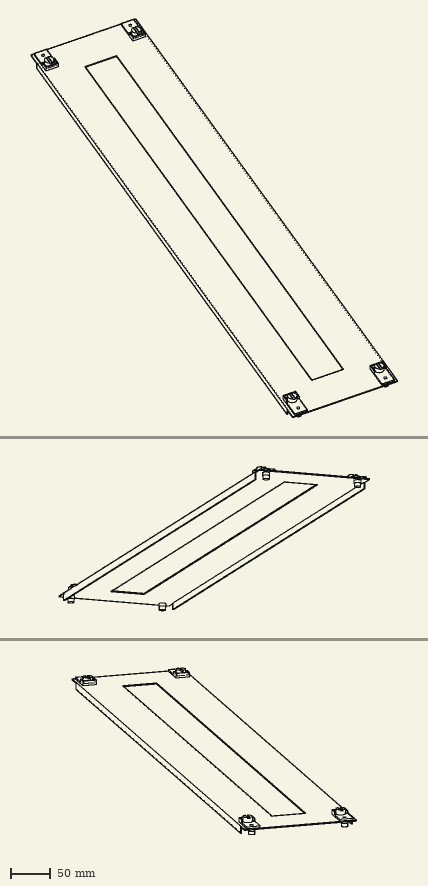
import cadquery as cq

LENGTH = 750.0
WIDTH = 150.0
SHEET = 1.5
FLANGE_DEPTH = 10.0
FLANGE_LENGTH = 717.0
WINDOW_LENGTH = 649.5
WINDOW_WIDTH = 45.0

CLIP_ROW_Y = 62.0
CLIP_EDGE_GAP = 1.5
CLIP_LENGTH = 34.0
CLIP_WIDTH = 18.0
CLIP_THICKNESS = 2.0
WALL_LENGTH = 10.5
WALL_HEIGHT = 4.0
WALL_THICKNESS = 1.5
BOSS_DIAMETER = 12.0
BOSS_INSET = 27.0
TOTAL_HEIGHT = 19.0
SLOT_WIDTH = 3.0
SLOT_DEPTH = 1.5

PIN_INSET = 10.0
SHANK_DIAMETER = 4.0
COLLAR_DIAMETER = 9.0
TIP_DIAMETER = 8.0
TIP_HEIGHT = 4.5

PANEL_TOP = FLANGE_DEPTH
PANEL_UNDERSIDE = PANEL_TOP - SHEET
CLIP_TOP = PANEL_TOP + CLIP_THICKNESS
CLIP_INNER_X = LENGTH / 2 - CLIP_EDGE_GAP - CLIP_LENGTH
BOSS_X = LENGTH / 2 - BOSS_INSET
PIN_X = LENGTH / 2 - PIN_INSET
CORNERS = [(x_side, y_side) for x_side in (-1, 1) for y_side in (-1, 1)]


def box(x_min, length, y_mid, width, z_min, height):
    """A block placed by its lowest X, its middle Y and its lowest Z."""
    block = cq.Workplane("XY").box(length, width, height, centered=(False, True, False))
    return block.translate((x_min, y_mid, z_min))


def cylinder(x, diameter, z_min, z_max):
    """An upright cylinder on the centre line of the clip in the +X, +Y corner."""
    base = cq.Workplane("XY", origin=(x, CLIP_ROW_Y, z_min))
    return base.circle(diameter / 2).extrude(z_max - z_min)


def to_corner(body, x_side, y_side):
    """Mirror a body made for the +X, +Y corner into the corner on the given sides."""
    if x_side < 0:
        body = body.mirror("YZ")
    if y_side < 0:
        body = body.mirror("XZ")
    return body


def make_panel():
    panel = box(-LENGTH / 2, LENGTH, 0, WIDTH, PANEL_UNDERSIDE, SHEET)
    for side in (-1, 1):
        flange_y = side * (WIDTH - SHEET) / 2
        flange = box(-FLANGE_LENGTH / 2, FLANGE_LENGTH, flange_y, SHEET, 0, FLANGE_DEPTH)
        panel = panel.union(flange)
    window = box(-WINDOW_LENGTH / 2, WINDOW_LENGTH, 0, WINDOW_WIDTH, PANEL_UNDERSIDE, SHEET)
    panel = panel.cut(window)
    pin_hole = cylinder(PIN_X, SHANK_DIAMETER, PANEL_UNDERSIDE, PANEL_TOP)
    for x_side, y_side in CORNERS:
        panel = panel.cut(to_corner(pin_hole, x_side, y_side))
    return panel


def make_clip_wall():
    """A wall on three sides, open toward the end of the panel."""
    block = box(CLIP_INNER_X, WALL_LENGTH, CLIP_ROW_Y, CLIP_WIDTH, CLIP_TOP, WALL_HEIGHT)
    pocket_width = CLIP_WIDTH - 2 * WALL_THICKNESS
    pocket_x = CLIP_INNER_X + WALL_THICKNESS
    pocket = box(pocket_x, WALL_LENGTH, CLIP_ROW_Y, pocket_width, CLIP_TOP, WALL_HEIGHT)
    return block.cut(pocket)


def make_boss():
    boss = cylinder(BOSS_X, BOSS_DIAMETER, PANEL_TOP, TOTAL_HEIGHT)
    slot_x = BOSS_X - BOSS_DIAMETER / 2
    slot = box(slot_x, BOSS_DIAMETER, CLIP_ROW_Y, SLOT_WIDTH, TOTAL_HEIGHT - SLOT_DEPTH, SLOT_DEPTH)
    return boss.cut(slot)


def make_clip():
    strip = box(CLIP_INNER_X, CLIP_LENGTH, CLIP_ROW_Y, CLIP_WIDTH, PANEL_TOP, CLIP_THICKNESS)
    pin_hole = cylinder(PIN_X, SHANK_DIAMETER, PANEL_TOP, CLIP_TOP)
    return strip.cut(pin_hole).union(make_clip_wall()).union(make_boss())


def make_pin():
    shank = cylinder(PIN_X, SHANK_DIAMETER, PANEL_UNDERSIDE, CLIP_TOP)
    collar = cylinder(PIN_X, COLLAR_DIAMETER, TIP_HEIGHT, PANEL_UNDERSIDE)
    tip = cylinder(PIN_X, TIP_DIAMETER, 0, TIP_HEIGHT)
    return shank.union(collar).union(tip)


panel = make_panel()
clip = make_clip()
pin = make_pin()
clips = [to_corner(clip, x_side, y_side).val() for x_side, y_side in CORNERS]
pins = [to_corner(pin, x_side, y_side).val() for x_side, y_side in CORNERS]

result = cq.Compound.makeCompound([panel.val(), *clips, *pins])